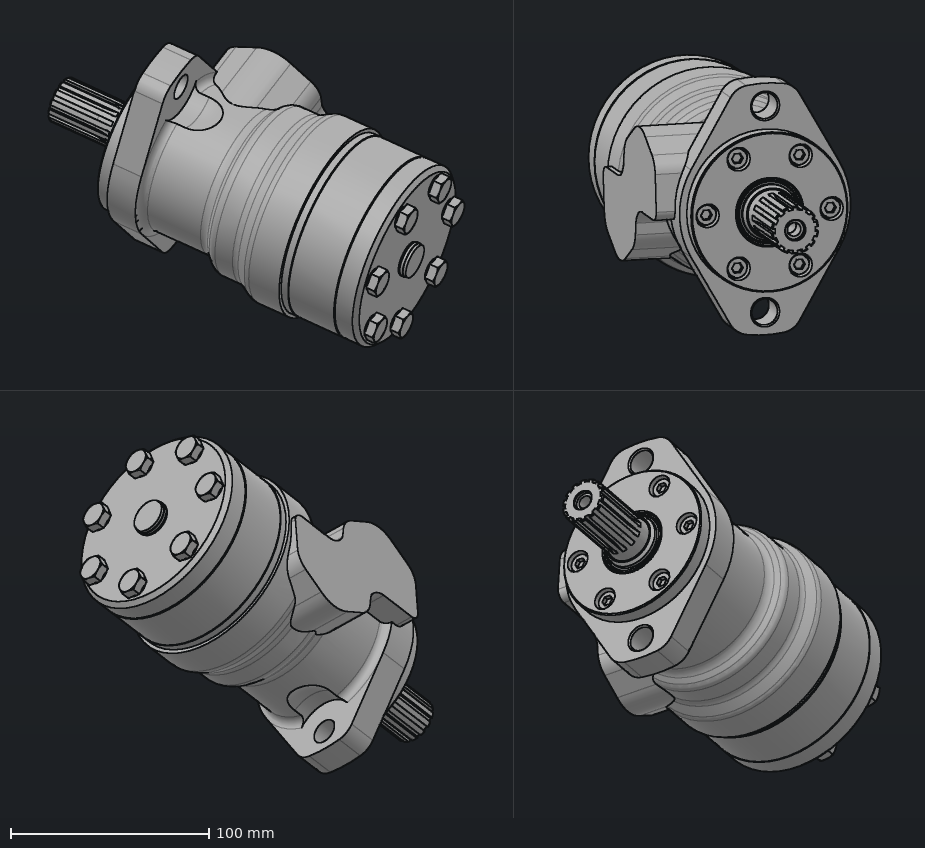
import cadquery as cq
import math

SEAL_TIP_X = 43.0
FRONT_FACE_X = 46.2
FLANGE_FRONT_X = 54.5
FLANGE_BACK_X = 71.0
HOUSING_END_X = 159.8
PLATE_END_X = 163.7
RING_END_X = 191.0
COVER_END_X = 204.0
BOLT_END_X = 210.2

SHAFT_RADIUS = 24.5 / 2
SHAFT_CHAMFER = 0.6
SPLINE_COUNT = 14
SPLINE_ROOT_RADIUS = 10.5
SPLINE_WIDTH = 2.5
SPLINE_CUT_OVERSHOOT = 2.0
SPLINE_FULL_DEPTH_END = 26.0
SPLINE_RUNOUT_END = 35.3
CENTRE_HOLE_DIAMETER = 7.0
CENTRE_HOLE_DEPTH = 10.5
CENTRE_BORE_DIAMETER = 10.0
CENTRE_BORE_CHAMFER = 0.5
CENTRE_BORE_DEPTH = 2.0
DRILL_POINT_ANGLE = 118.0

SEAL_RADIUS = 32.5 / 2
SEAL_NOSE_RADIUS = 29.0 / 2
SEAL_LIP_RADIUS = 13.0
SEAL_CONE_LENGTH = 1.9
SEAL_RECESS = 0.6
SEAL_EDGE_CHAMFER = 0.6
SEAL_MOUTH_RADIUS = 17.9
SEAL_MOUTH_CHAMFER = 0.6
SEAL_MOUTH_DEPTH = 1.3

SPIGOT_RADIUS = 82.5 / 2
SPIGOT_CHAMFER = 0.6
FLANGE_RADIUS = 45.0
FLANGE_HALF_HEIGHT = 65.0
FLANGE_CORNER_RADIUS = 11.5
FLANGE_SIDE_ANGLE = math.radians(30)
MOUNT_HOLE_Z = 53.2
MOUNT_HOLE_RADIUS = 13.5 / 2
MOUNT_HOLE_CHAMFER = 0.8
POCKET_RADIUS = 18.5
POCKET_STRAIGHT_END_X = 80.5

SCREW_COUNT = 6
SCREW_CIRCLE_RADIUS = 32.5
SCREW_BORE_RADIUS = 12.0 / 2
SCREW_BORE_DEPTH = 5.3
SCREW_HEAD_RADIUS = 10.0 / 2
SCREW_HEAD_RECESS = 2.0
SCREW_HEX_FLATS = 5.0
SCREW_HEX_DEPTH = 2.5

NECK_RADIUS = 40.5
NECK_FILLET = FLANGE_RADIUS - NECK_RADIUS
NECK_END_X = 106.5
MIDDLE_RADIUS = 47.0
MIDDLE_END_X = 129.3
BODY_RADIUS = 52.1
SHOULDER_FOOT_RADIUS = 7.8
SHOULDER_TOP_RADIUS = 6.3
NECK_SHOULDER_ANGLE = math.radians(45)
BODY_SHOULDER_ANGLE = math.radians(30)

PORT_FACE_Y = 54.9
PORT_CENTRE_X = 110.4
PORT_LENGTH = 95.6
PORT_HALF_LENGTH = PORT_LENGTH / 2
LOBE_TOP_Z = 37.8
LOBE_CORNER_RADIUS = 12.6
LOBE_CONCAVE_RADIUS = 11.1
LOBE_END_RADIUS = 5.3

PLATE_RADIUS = 100.0 / 2
JOINT_CHAMFER = 0.5
COVER_CHAMFER = 2.5
BOLT_COUNT = 7
BOLT_CIRCLE_RADIUS = 39.7
FIRST_BOLT_ANGLE = -3.3
BOLT_HEX_FLATS = 13.0
BOLT_HEX_TURN = -11.0
BOLT_TIP_RADIUS = 13.0 / 2
BOLT_TIP_SLOPE = math.radians(30)
BOLT_WASHER_RADIUS = 12.0 / 2
BOLT_WASHER_HEIGHT = 0.8
PLUG_RADIUS = 18.0 / 2
PLUG_HEIGHT = 4.5
PLUG_COLLAR_RADIUS = 19.0 / 2
PLUG_COLLAR_START = 0.8
PLUG_COLLAR_END = 2.7


def disc(start_x, end_x, radius, y=0, z=0):
    """Cylinder along X between two stations."""
    return cq.Workplane("YZ", origin=(start_x, y, z)).circle(radius).extrude(end_x - start_x)


def hexagon(start_x, end_x, flats, y=0, z=0, turn=0):
    """Hexagonal prism along X with the given width across flats."""
    corners = flats / math.cos(math.radians(30))
    prism = cq.Workplane("YZ").polygon(6, corners).extrude(end_x - start_x)
    return prism.rotate((0, 0, 0), (1, 0, 0), turn).translate((start_x, y, z))


def circle_places(count, radius, first_angle=0):
    """The (y, z) place of each item spread evenly on a circle about X."""
    places = []
    for i in range(count):
        angle = math.radians(first_angle + i * 360 / count)
        places.append((radius * math.cos(angle), radius * math.sin(angle)))
    return places


def revolve_about_x(profile):
    """Revolve a closed (x, radius) profile about the motor axis."""
    return profile.close().revolve(360, (0, 0, 0), (1, 0, 0))


def spline_groove():
    """One spline groove on the -Y side; its floor curves up to the shaft surface."""
    above = SHAFT_RADIUS + SPLINE_CUT_OVERSHOOT
    depth = above - SPLINE_ROOT_RADIUS
    rise = SHAFT_RADIUS - SPLINE_ROOT_RADIUS
    run = SPLINE_RUNOUT_END - SPLINE_FULL_DEPTH_END
    cutter_radius = (run**2 + rise**2) / (2 * rise)
    straight = (
        cq.Workplane("XY")
        .box(SPLINE_FULL_DEPTH_END, depth, SPLINE_WIDTH, centered=(False, False, True))
        .translate((0, -above, 0))
    )
    runout = (
        cq.Workplane("XY")
        .center(SPLINE_FULL_DEPTH_END, -SPLINE_ROOT_RADIUS - cutter_radius)
        .circle(cutter_radius)
        .extrude(SPLINE_WIDTH / 2, both=True)
    )
    return straight.union(runout)


def make_shaft():
    shaft = disc(0, FLANGE_BACK_X, SHAFT_RADIUS).faces("<X").chamfer(SHAFT_CHAMFER)
    groove = spline_groove()
    for i in range(SPLINE_COUNT):
        shaft = shaft.cut(groove.rotate((0, 0, 0), (1, 0, 0), i * 360 / SPLINE_COUNT))

    bore_radius = CENTRE_BORE_DIAMETER / 2
    hole_radius = CENTRE_HOLE_DIAMETER / 2
    point_length = hole_radius / math.tan(math.radians(DRILL_POINT_ANGLE / 2))
    centre_hole = revolve_about_x(
        cq.Workplane("XY")
        .lineTo(0, bore_radius + CENTRE_BORE_CHAMFER)
        .lineTo(CENTRE_BORE_CHAMFER, bore_radius)
        .lineTo(CENTRE_BORE_DEPTH, bore_radius)
        .lineTo(CENTRE_BORE_DEPTH, hole_radius)
        .lineTo(CENTRE_HOLE_DEPTH, hole_radius)
        .lineTo(CENTRE_HOLE_DEPTH + point_length, 0)
    )
    return shaft.cut(centre_hole)


def make_dust_seal():
    face_x = FRONT_FACE_X + SEAL_RECESS
    return revolve_about_x(
        cq.Workplane("XY")
        .moveTo(SEAL_TIP_X, SHAFT_RADIUS)
        .lineTo(SEAL_TIP_X, SEAL_LIP_RADIUS)
        .lineTo(SEAL_TIP_X + SEAL_CONE_LENGTH, SEAL_NOSE_RADIUS)
        .lineTo(face_x, SEAL_NOSE_RADIUS)
        .lineTo(face_x, SEAL_RADIUS - SEAL_EDGE_CHAMFER)
        .lineTo(face_x + SEAL_EDGE_CHAMFER, SEAL_RADIUS)
        .lineTo(FLANGE_FRONT_X, SEAL_RADIUS)
        .lineTo(FLANGE_FRONT_X, SHAFT_RADIUS)
    )


def add_shoulder(profile, start_x, start_radius, end_radius, slope):
    """Extend a profile by a step up: concave arc, straight slope, convex arc."""
    foot_turn = SHOULDER_FOOT_RADIUS * (1 - math.cos(slope))
    top_turn = SHOULDER_TOP_RADIUS * (1 - math.cos(slope))
    straight_rise = end_radius - start_radius - foot_turn - top_turn
    foot_x = start_x + SHOULDER_FOOT_RADIUS * math.sin(slope)
    top_x = foot_x + straight_rise / math.tan(slope)
    end_x = top_x + SHOULDER_TOP_RADIUS * math.sin(slope)
    return (
        profile.lineTo(start_x, start_radius)
        .tangentArcPoint((foot_x, start_radius + foot_turn), relative=False)
        .lineTo(top_x, end_radius - top_turn)
        .tangentArcPoint((end_x, end_radius), relative=False)
    )


def housing_barrel():
    """Round body behind the flange, with its fillet and two shoulders."""
    fillet_mid = NECK_FILLET * (1 - math.sqrt(0.5))
    profile = (
        cq.Workplane("XY")
        .moveTo(FLANGE_BACK_X, 0)
        .lineTo(FLANGE_BACK_X, FLANGE_RADIUS)
        .threePointArc(
            (FLANGE_BACK_X + fillet_mid, NECK_RADIUS + fillet_mid),
            (FLANGE_BACK_X + NECK_FILLET, NECK_RADIUS),
        )
    )
    profile = add_shoulder(profile, NECK_END_X, NECK_RADIUS, MIDDLE_RADIUS, NECK_SHOULDER_ANGLE)
    profile = add_shoulder(profile, MIDDLE_END_X, MIDDLE_RADIUS, BODY_RADIUS, BODY_SHOULDER_ANGLE)
    return revolve_about_x(profile.lineTo(HOUSING_END_X, BODY_RADIUS).lineTo(HOUSING_END_X, 0))


def flange_plate():
    """Oval flange: round waist, straight tangent sides and rounded ends."""
    corner_distance = FLANGE_HALF_HEIGHT - FLANGE_CORNER_RADIUS
    side_offset = FLANGE_RADIUS - FLANGE_CORNER_RADIUS
    corner_angle = FLANGE_SIDE_ANGLE + math.acos(side_offset / corner_distance)
    corner_mid_angle = (FLANGE_SIDE_ANGLE + corner_angle) / 2
    corner_y = corner_distance * math.cos(corner_angle)
    corner_z = corner_distance * math.sin(corner_angle)

    def on_corner(angle):
        return (
            corner_y + FLANGE_CORNER_RADIUS * math.cos(angle),
            corner_z + FLANGE_CORNER_RADIUS * math.sin(angle),
        )

    waist = (
        FLANGE_RADIUS * math.cos(FLANGE_SIDE_ANGLE),
        FLANGE_RADIUS * math.sin(FLANGE_SIDE_ANGLE),
    )
    side_end = on_corner(FLANGE_SIDE_ANGLE)
    corner_mid = on_corner(corner_mid_angle)
    corner_end = on_corner(corner_angle)

    def mirrored(point, y_sign, z_sign):
        return (y_sign * point[0], z_sign * point[1])

    outline = (
        cq.Workplane("YZ", origin=(FLANGE_FRONT_X, 0, 0))
        .moveTo(*waist)
        .lineTo(*side_end)
        .threePointArc(corner_mid, corner_end)
        .threePointArc((0, FLANGE_HALF_HEIGHT), mirrored(corner_end, -1, 1))
        .threePointArc(mirrored(corner_mid, -1, 1), mirrored(side_end, -1, 1))
        .lineTo(*mirrored(waist, -1, 1))
        .threePointArc((-FLANGE_RADIUS, 0), mirrored(waist, -1, -1))
        .lineTo(*mirrored(side_end, -1, -1))
        .threePointArc(mirrored(corner_mid, -1, -1), mirrored(corner_end, -1, -1))
        .threePointArc((0, -FLANGE_HALF_HEIGHT), mirrored(corner_end, 1, -1))
        .threePointArc(mirrored(corner_mid, 1, -1), mirrored(side_end, 1, -1))
        .lineTo(*mirrored(waist, 1, -1))
        .threePointArc((FLANGE_RADIUS, 0), waist)
        .close()
    )
    return outline.extrude(FLANGE_BACK_X - FLANGE_FRONT_X)


def turned(point, turn):
    """The point itself for turn = 1, or moved half a turn about the origin for turn = -1."""
    return (turn * point[0], turn * point[1])


def port_block():
    """Block on the +Y side with two rounded lobes set diagonally."""
    left_end = (-PORT_HALF_LENGTH, 0)
    side_top = (-46.0, 19.1)
    slope_foot = (-40.0, 28.0)
    slope_top = (-27.7, 34.9)
    lobe_top = (-17.7, LOBE_TOP_Z)
    fall_top = (-7.5, 34.9)
    fall_foot = (4.2, 28.0)
    inner_side_top = (10.3, 19.1)
    inner_side_foot = (11.0, 13.0)
    waist_start = (20.8, 5.3)
    waist_end = (PORT_HALF_LENGTH - LOBE_END_RADIUS, 5.3)
    right_end = (PORT_HALF_LENGTH, 0)

    outline = cq.Workplane("XZ", origin=(PORT_CENTRE_X, 0, 0)).moveTo(*left_end)
    for turn in (1, -1):
        outline = (
            outline.lineTo(*turned(side_top, turn))
            .radiusArc(turned(slope_foot, turn), LOBE_CORNER_RADIUS)
            .lineTo(*turned(slope_top, turn))
            .threePointArc(turned(lobe_top, turn), turned(fall_top, turn))
            .lineTo(*turned(fall_foot, turn))
            .radiusArc(turned(inner_side_top, turn), LOBE_CORNER_RADIUS)
            .lineTo(*turned(inner_side_foot, turn))
            .radiusArc(turned(waist_start, turn), -LOBE_CONCAVE_RADIUS)
            .lineTo(*turned(waist_end, turn))
            .radiusArc(turned(right_end, turn), LOBE_END_RADIUS)
        )
    return outline.close().extrude(-PORT_FACE_Y)


def bolt_pocket(z):
    """Round-ended clearance pocket behind one mounting hole."""
    outward = math.copysign(POCKET_RADIUS, z)
    mid_offset = POCKET_RADIUS * math.sqrt(0.5)
    return (
        cq.Workplane("XZ", origin=(0, 0, z))
        .moveTo(FLANGE_BACK_X, 0)
        .lineTo(FLANGE_BACK_X, outward)
        .lineTo(POCKET_STRAIGHT_END_X, outward)
        .threePointArc(
            (POCKET_STRAIGHT_END_X + mid_offset, math.copysign(mid_offset, z)),
            (POCKET_STRAIGHT_END_X + POCKET_RADIUS, 0),
        )
        .close()
        .revolve(360, (0, 0, 0), (1, 0, 0))
    )


def mount_hole(z):
    """Through hole in the flange, chamfered at the front."""
    hole = disc(FLANGE_FRONT_X, FLANGE_BACK_X, MOUNT_HOLE_RADIUS, z=z)
    mouth = (
        cq.Workplane("YZ", origin=(FLANGE_FRONT_X, 0, z))
        .circle(MOUNT_HOLE_RADIUS + MOUNT_HOLE_CHAMFER)
        .workplane(offset=MOUNT_HOLE_CHAMFER)
        .circle(MOUNT_HOLE_RADIUS)
        .loft()
    )
    return hole.union(mouth)


def screw_recess(y, z):
    """Counterbore around a sunken screw head with a hexagon socket."""
    head_x = FRONT_FACE_X + SCREW_HEAD_RECESS
    bore = disc(FRONT_FACE_X, FRONT_FACE_X + SCREW_BORE_DEPTH, SCREW_BORE_RADIUS, y, z)
    head = disc(head_x, FRONT_FACE_X + SCREW_BORE_DEPTH, SCREW_HEAD_RADIUS, y, z)
    socket = hexagon(head_x, head_x + SCREW_HEX_DEPTH, SCREW_HEX_FLATS, y, z)
    return bore.cut(head).union(socket)


def shaft_bore():
    """Stepped bore for the shaft and its seal, with a chamfered mouth."""
    inner_mouth_radius = SEAL_MOUTH_RADIUS - SEAL_MOUTH_CHAMFER
    return revolve_about_x(
        cq.Workplane("XY")
        .moveTo(FRONT_FACE_X, 0)
        .lineTo(FRONT_FACE_X, SEAL_MOUTH_RADIUS)
        .lineTo(FRONT_FACE_X + SEAL_MOUTH_CHAMFER, inner_mouth_radius)
        .lineTo(FRONT_FACE_X + SEAL_MOUTH_DEPTH, inner_mouth_radius)
        .lineTo(FRONT_FACE_X + SEAL_MOUTH_DEPTH, SEAL_RADIUS)
        .lineTo(FLANGE_FRONT_X, SEAL_RADIUS)
        .lineTo(FLANGE_FRONT_X, SHAFT_RADIUS)
        .lineTo(FLANGE_BACK_X, SHAFT_RADIUS)
        .lineTo(FLANGE_BACK_X, 0)
    )


def make_housing():
    body = housing_barrel().union(port_block())
    for z in (-MOUNT_HOLE_Z, MOUNT_HOLE_Z):
        body = body.cut(bolt_pocket(z))

    spigot = disc(FRONT_FACE_X, FLANGE_FRONT_X, SPIGOT_RADIUS).faces("<X").chamfer(SPIGOT_CHAMFER)
    housing = body.union(flange_plate()).union(spigot)

    for z in (-MOUNT_HOLE_Z, MOUNT_HOLE_Z):
        housing = housing.cut(mount_hole(z))
    for y, z in circle_places(SCREW_COUNT, SCREW_CIRCLE_RADIUS):
        housing = housing.cut(screw_recess(y, z))
    return housing.cut(shaft_bore())


def make_distributor_plate():
    return disc(HOUSING_END_X, PLATE_END_X, PLATE_RADIUS)


def make_gear_ring():
    return disc(PLATE_END_X, RING_END_X, PLATE_RADIUS).faces("<X or >X").chamfer(JOINT_CHAMFER)


def bolt_head():
    """Hexagon head on a thin round washer face, with its outer corners turned off."""
    height = BOLT_END_X - COVER_END_X
    washer = disc(0, BOLT_WASHER_HEIGHT, BOLT_WASHER_RADIUS)
    head = hexagon(BOLT_WASHER_HEIGHT, height, BOLT_HEX_FLATS, turn=BOLT_HEX_TURN)
    cone_radius = BOLT_TIP_RADIUS + height / math.tan(BOLT_TIP_SLOPE)
    tip_cone = revolve_about_x(
        cq.Workplane("XY").lineTo(0, cone_radius).lineTo(height, BOLT_TIP_RADIUS).lineTo(height, 0)
    )
    return washer.union(head.intersect(tip_cone))


def drain_plug():
    """Round plug head with a slightly larger collar."""
    collar = disc(COVER_END_X + PLUG_COLLAR_START, COVER_END_X + PLUG_COLLAR_END, PLUG_COLLAR_RADIUS)
    return disc(COVER_END_X, COVER_END_X + PLUG_HEIGHT, PLUG_RADIUS).union(collar)


def make_end_cover():
    """End cover carrying its hexagon bolt heads and the central drain plug."""
    cover = disc(RING_END_X, COVER_END_X, PLATE_RADIUS).faces(">X").chamfer(COVER_CHAMFER)
    head = bolt_head()
    for y, z in circle_places(BOLT_COUNT, BOLT_CIRCLE_RADIUS, FIRST_BOLT_ANGLE):
        cover = cover.union(head.translate((COVER_END_X, y, z)))
    return cover.union(drain_plug())


shaft = make_shaft()
dust_seal = make_dust_seal()
housing = make_housing()
distributor_plate = make_distributor_plate()
gear_ring = make_gear_ring()
end_cover = make_end_cover()

result = cq.Compound.makeCompound(
    [
        shaft.val(),
        dust_seal.val(),
        housing.val(),
        distributor_plate.val(),
        gear_ring.val(),
        end_cover.val(),
    ]
)